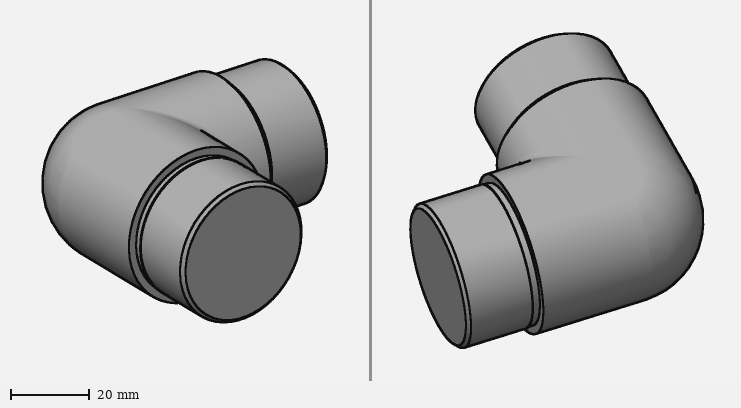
import cadquery as cq

overall_length = 71.2
body_radius = 21.2
body_length = 30.0
spigot_radius = 19.15
neck_radius = 18.95
neck_length = 2.0
end_chamfer = 1.0
corner_fillet = 2.5

arm_reach = overall_length - body_radius
spigot_start = body_length + neck_length

box_margin = 0.1
box_reach = body_radius + box_margin
inside_corner = cq.selectors.BoxSelector(
    (box_margin, box_margin, -box_reach), (box_reach, box_reach, box_reach)
)


def along_arm(direction, start, end, radius):
    """Solid cylinder along one arm, between two distances from the elbow centre."""
    return cq.Workplane(
        cq.Solid.makeCylinder(radius, end - start, direction * start, direction)
    )


def make_body(directions):
    """Two cylinders meeting in a sphere, blended in the inside corner."""
    body = cq.Workplane("XY").sphere(body_radius)
    for direction in directions:
        body = body.union(along_arm(direction, 0, body_length, body_radius))
    return body.edges(inside_corner).fillet(corner_fillet)


def make_spigot(direction):
    """Relieved neck and chamfered spigot at the end of one arm."""
    neck = along_arm(direction, body_length, spigot_start, neck_radius)
    spigot = along_arm(direction, spigot_start, arm_reach, spigot_radius)
    end_face = cq.selectors.DirectionMinMaxSelector(direction, True)
    spigot = spigot.faces(end_face).chamfer(end_chamfer)
    return neck.union(spigot)


arms = [cq.Vector(1, 0, 0), cq.Vector(0, 1, 0)]
result = make_body(arms)
for arm in arms:
    result = result.union(make_spigot(arm))